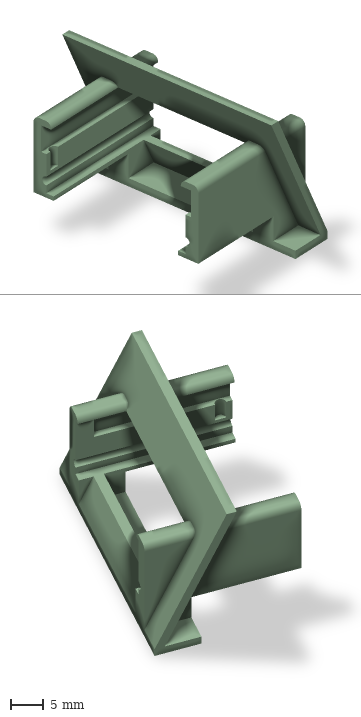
import cadquery as cq
import math

width = 42
height = 27.0
rail_length = 25.87
back = rail_length / 2
front = -back

base_depth = 7.73
floor_thickness = 1.5
panel_foot = 1.7
panel_thickness = 1.5
panel_tilt = math.radians(25)

rail_outer = 16.55
recess_wall = 15.05
inner_wall = 14.0
lip_edge = 13
ledge_edge = 12.5
rail_bottom = 5.95
ledge_top = 6.75
recess_bottom = 13.85
lip_bottom = 18.7
rail_top = 19.85
lip_radius = 1.1
groove_height = 9.0
groove_radius = 0.8

recess_end = 3.02
notch_radius = 0.92
notch_depth = 3.45
notch_from_front = 1.95


def block(x_min, x_max, y_min, y_max, z_min, z_max):
    size = (x_max - x_min, y_max - y_min, z_max - z_min)
    return cq.Workplane("XY").box(*size, centered=False).translate((x_min, y_min, z_min))


def make_frame():
    """Floor and sloping panel, extruded over the full width."""
    slope = math.tan(panel_tilt)
    panel_run = panel_thickness / math.cos(panel_tilt)
    panel_top = panel_foot + (height - floor_thickness) * slope
    panel_back_top = panel_top - panel_run
    panel_back_foot = height - panel_back_top / slope
    outline = [
        (back, 0),
        (back - base_depth, 0),
        (back - base_depth, floor_thickness),
        (back - panel_foot, floor_thickness),
        (back - panel_top, height),
        (back - panel_back_top, height),
        (back, panel_back_foot),
    ]
    return cq.Workplane("YZ").polyline(outline).close().extrude(width / 2, both=True)


def make_rail():
    """Rail on the +X side, with its foot, lip, recess, groove and notch."""
    rail = block(ledge_edge, rail_outer, front, back, rail_bottom, rail_top)
    rail = rail.cut(block(ledge_edge, lip_edge, front, back, ledge_top, rail_top))
    rail = rail.edges("|Y and >Z").fillet(lip_radius)
    rail = rail.cut(block(ledge_edge, inner_wall, front, back, ledge_top, lip_bottom))
    rail = rail.union(block(ledge_edge, rail_outer, back - base_depth, back, 0, rail_bottom))
    rail = rail.cut(
        block(inner_wall, recess_wall, front, back - recess_end, recess_bottom, lip_bottom)
    )
    groove = (
        cq.Workplane("XZ")
        .center(inner_wall, groove_height)
        .circle(groove_radius)
        .extrude(back, both=True)
    )
    notch = (
        cq.Workplane("XY", origin=(inner_wall, front + notch_from_front, recess_bottom))
        .circle(notch_radius)
        .extrude(-notch_depth)
    )
    return rail.cut(groove).cut(notch)


window = block(-rail_outer, rail_outer, front, back, ledge_top, lip_bottom)
right_rail = make_rail()
left_rail = right_rail.mirror("YZ")
result = make_frame().cut(window).union(right_rail).union(left_rail)